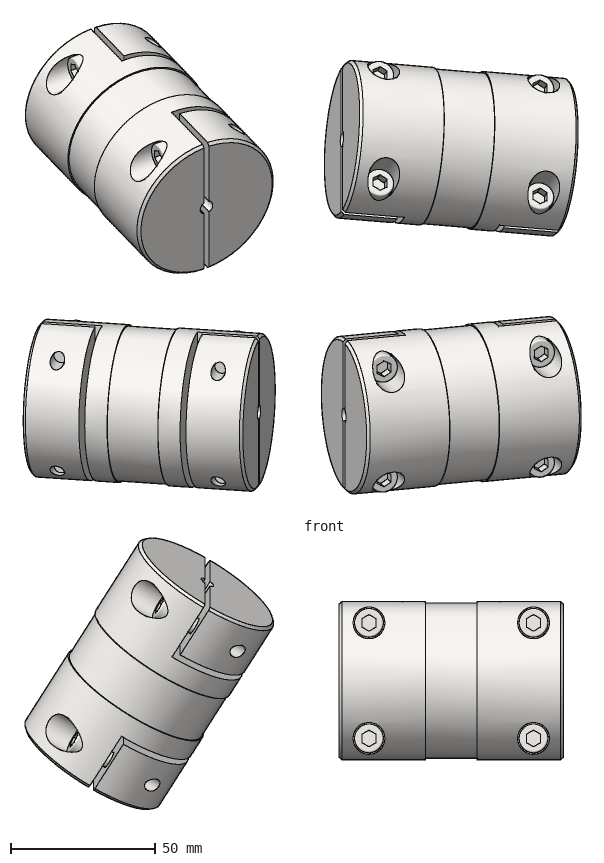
import cadquery as cq

LENGTH = 78.0
DIAMETER = 55.0
WAIST_DIAMETER = 54.0
WAIST_LENGTH = 18.0
BORE_DIAMETER = 5.0
END_CHAMFER = 1.0

CAP_LENGTH = 20.0
SPLIT_GAP = 2.0
SHOULDER_GAP = 2.1

SCREW_X = 28.55
SCREW_Z = 20.05
HEAD_DIAMETER = 10.0
HEAD_HEIGHT = 6.0
HEAD_FILLET = 0.55
HEAD_FACE_Y = -13.25
SHANK_DIAMETER = 6.0
SHANK_LENGTH = 20.0
SOCKET_ACROSS_FLATS = 5.0
SOCKET_DEPTH = 4.0

COUNTERBORE_DIAMETER = 11.0
CLEARANCE_DIAMETER = 6.6
TAP_DIAMETER = 5.0

RADIUS = DIAMETER / 2
CAP_INNER_X = LENGTH / 2 - CAP_LENGTH
SHOULDER_X = CAP_INNER_X - SHOULDER_GAP
SPLIT_Y = SPLIT_GAP / 2
HEAD_SEAT_Y = HEAD_FACE_Y + HEAD_HEIGHT
SHANK_END_Y = HEAD_SEAT_Y + SHANK_LENGTH
ENDS = (-1, 1)
SCREW_PLACES = [(end * SCREW_X, side * SCREW_Z) for end in ENDS for side in (-1, 1)]


def cylinder_x(diameter, length):
    """Cylinder along X, centred on the origin."""
    return cq.Workplane("YZ", origin=(-length / 2, 0, 0)).circle(diameter / 2).extrude(length)


def cylinder_y(place, diameter, start_y, end_y):
    """Cylinder parallel to Y through the (x, z) place, from start_y to end_y."""
    x, z = place
    base = cq.Workplane("XZ", origin=(x, start_y, z))
    return base.circle(diameter / 2).extrude(start_y - end_y)


def end_block(end, inner_x, lower_y):
    """Block over one end of the coupling: outward from inner_x along X and upward from lower_y along Y."""
    length = LENGTH / 2 - inner_x
    height = RADIUS - lower_y
    block = cq.Workplane("XY").box(length, height, DIAMETER)
    return block.translate((end * (inner_x + length / 2), lower_y + height / 2, 0))


def make_blank():
    """Bored and chamfered cylinder from which the body and the caps are cut."""
    blank = cylinder_x(DIAMETER, LENGTH).faces("<X or >X").chamfer(END_CHAMFER)
    waist_groove = cylinder_x(DIAMETER, WAIST_LENGTH).cut(cylinder_x(WAIST_DIAMETER, WAIST_LENGTH))
    return blank.cut(waist_groove).cut(cylinder_x(BORE_DIAMETER, LENGTH))


def make_body(blank):
    """Coupling body with open ends for the caps and counterbored clearance holes."""
    body = blank
    for end in ENDS:
        body = body.cut(end_block(end, SHOULDER_X, -SPLIT_Y))
    for place in SCREW_PLACES:
        body = body.cut(cylinder_y(place, CLEARANCE_DIAMETER, HEAD_SEAT_Y, -SPLIT_Y))
        body = body.cut(cylinder_y(place, COUNTERBORE_DIAMETER, -RADIUS, HEAD_SEAT_Y))
    return body


def make_cap(blank, end):
    """Clamp cap with tap holes, widened to the screw shank diameter where the screws are engaged."""
    cap = blank.intersect(end_block(end, CAP_INNER_X, SPLIT_Y))
    for place in SCREW_PLACES:
        cap = cap.cut(cylinder_y(place, TAP_DIAMETER, SPLIT_Y, RADIUS))
        cap = cap.cut(cylinder_y(place, SHANK_DIAMETER, SPLIT_Y, SHANK_END_Y))
    return cap


def make_screw(place):
    """Socket head cap screw with a hexagonal socket whose corners point along Z."""
    x, z = place
    head = cylinder_y(place, HEAD_DIAMETER, HEAD_FACE_Y, HEAD_SEAT_Y).faces("<Y").fillet(HEAD_FILLET)
    shank = cylinder_y(place, SHANK_DIAMETER, HEAD_SEAT_Y, SHANK_END_Y)
    socket = (
        cq.Workplane("XZ", origin=(x, HEAD_FACE_Y, z))
        .polygon(6, SOCKET_ACROSS_FLATS, circumscribed=True)
        .extrude(-SOCKET_DEPTH)
    )
    return head.union(shank).cut(socket)


blank = make_blank()
body = make_body(blank)
caps = [make_cap(blank, end) for end in ENDS]
screws = [make_screw(place) for place in SCREW_PLACES]

result = cq.Compound.makeCompound(
    [body.val(), *[cap.val() for cap in caps], *[screw.val() for screw in screws]]
)